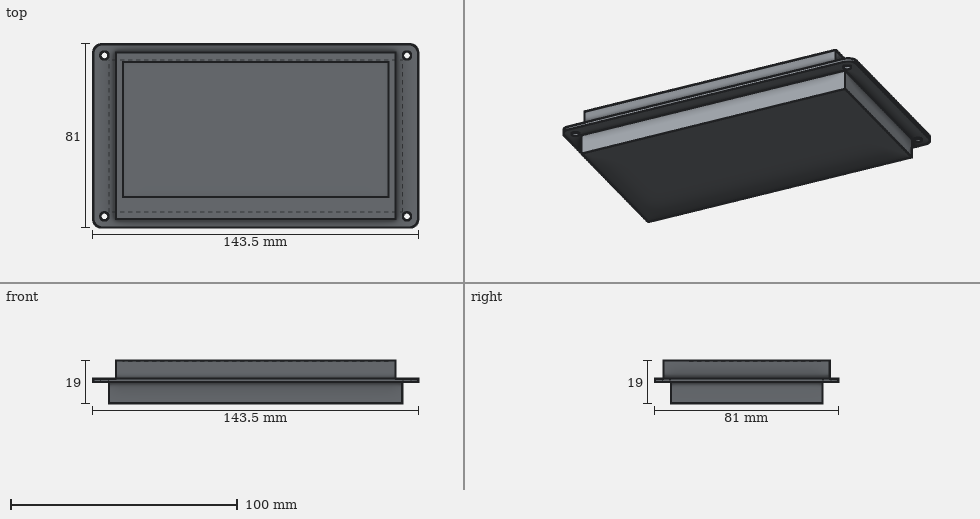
import cadquery as cq

plate_length = 143.5
plate_width = 81.0
plate_thickness = 1.6
plate_corner_radius = 4.0

hole_diameter = 3.5
hole_edge_distance = 5.0

housing_length = 123.4
housing_width = 73.5
housing_height = 8.0

screen_length = 117.2
screen_width = 59.5
screen_depth = 0.5
screen_offset_y = 2.8

total_height = 19.0
block_length = 129.5
block_width = 67.0
block_height = total_height - plate_thickness - housing_height


def make_plate():
    """Rounded plate with its underside at Z = 0 and a hole near each corner."""
    hole_spacing_x = plate_length - 2 * hole_edge_distance
    hole_spacing_y = plate_width - 2 * hole_edge_distance
    return (
        cq.Workplane("XY")
        .box(plate_length, plate_width, plate_thickness, centered=(True, True, False))
        .edges("|Z")
        .fillet(plate_corner_radius)
        .faces(">Z")
        .workplane()
        .rect(hole_spacing_x, hole_spacing_y, forConstruction=True)
        .vertices()
        .hole(hole_diameter)
    )


def make_housing():
    """Display housing on top of the plate, with a shallow screen recess."""
    housing = (
        cq.Workplane("XY")
        .workplane(offset=plate_thickness)
        .box(housing_length, housing_width, housing_height, centered=(True, True, False))
    )
    recess_floor = plate_thickness + housing_height - screen_depth
    recess = (
        cq.Workplane("XY")
        .workplane(offset=recess_floor)
        .center(0, screen_offset_y)
        .box(screen_length, screen_width, screen_depth, centered=(True, True, False))
    )
    return housing.cut(recess)


def make_block():
    """Plain block hanging under the plate."""
    return (
        cq.Workplane("XY")
        .workplane(offset=-block_height)
        .box(block_length, block_width, block_height, centered=(True, True, False))
    )


result = make_plate().union(make_housing()).union(make_block())